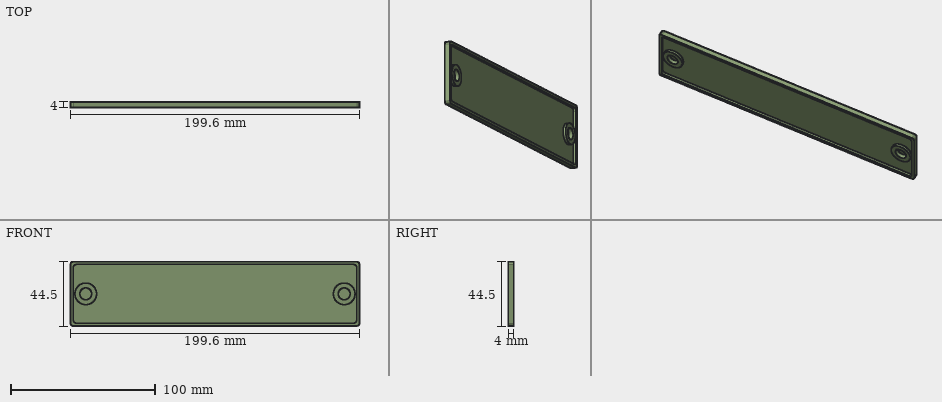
import cadquery as cq

length = 199.6
thickness = 4.0
height = 44.5
corner_radius = 2.0

rim_width = 2.0
pocket_depth = 2.0
pocket_corner_radius = 2.0

boss_diameter = 15.0
boss_height = 2.0
hole_diameter = 8.2
hole_depth = 3.2
boss_end_distance = 10.5

front_y = -thickness / 2
pocket_floor_y = front_y + pocket_depth
boss_face_y = pocket_floor_y - boss_height
boss_x = length / 2 - boss_end_distance


def rounded_block(size_x, size_z, radius, start_y, depth):
    """Block with rounded corners, running from start_y toward +Y."""
    return (
        cq.Workplane("XZ", origin=(0, start_y, 0))
        .rect(size_x, size_z)
        .extrude(-depth)
        .edges("|Y")
        .fillet(radius)
    )


def cylinder(x, diameter, start_y, depth):
    """Cylinder along Y, running from start_y toward +Y."""
    return (
        cq.Workplane("XZ", origin=(x, start_y, 0))
        .circle(diameter / 2)
        .extrude(-depth)
    )


plate = rounded_block(length, height, corner_radius, front_y, thickness)
pocket = rounded_block(
    length - 2 * rim_width,
    height - 2 * rim_width,
    pocket_corner_radius,
    front_y,
    pocket_depth,
)
result = plate.cut(pocket)

for x in (-boss_x, boss_x):
    result = result.union(cylinder(x, boss_diameter, boss_face_y, boss_height))
    result = result.cut(cylinder(x, hole_diameter, boss_face_y, hole_depth))